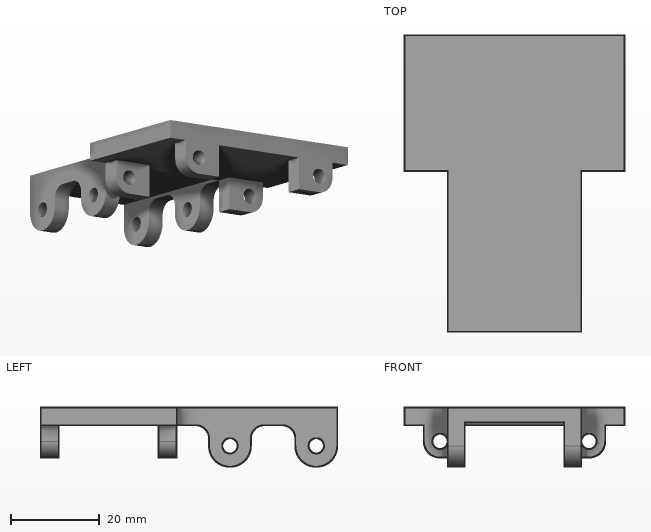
import cadquery as cq
import math

total_length = 66.7
wide_width = 49.5
wide_length = 30.55
wide_thickness = 4.1
narrow_width = 30.0
narrow_length = total_length - wide_length
narrow_thickness = 3.4

hole_diameter = 3.4

total_height = 13.4
rail_width = 3.9
rail_depth = wide_thickness
rail_lug_radius = 4.75
rail_lug_axis_z = rail_lug_radius - total_height
rail_lug_axes_y = (rail_lug_radius, 24.15)
root_fillet_radius = 2.95

cross_lug_radius = 3.7
cross_lug_thickness = 4.1
cross_lug_axis_z = -7.7
cross_lug_axis_x = 16.75
cross_lug_inner_x = narrow_width / 2 - rail_width
cross_lug_back_faces_y = (narrow_length + cross_lug_thickness, total_length)


def block(x_min, y_min, width, length, thickness):
    """Box hanging down from the top face."""
    return cq.Workplane("XY").box(width, length, thickness, centered=False).translate(
        (x_min, y_min, -thickness)
    )


def lug_profile(plane, axis, axis_z, radius):
    """Closed outline of a round-ended lug reaching up to the top face."""
    return (
        plane.moveTo(axis - radius, 0)
        .lineTo(axis - radius, axis_z)
        .threePointArc((axis, axis_z - radius), (axis + radius, axis_z))
        .lineTo(axis + radius, 0)
        .close()
    )


def make_rail(x_min):
    """Side rail with two lugs, filleted where the lugs meet its lower edge."""
    rail = block(x_min, 0, rail_width, narrow_length, rail_depth)
    plane = cq.Workplane("YZ", origin=(x_min, 0, 0))
    for axis_y in rail_lug_axes_y:
        rail = rail.union(lug_profile(plane, axis_y, rail_lug_axis_z, rail_lug_radius).extrude(rail_width))

    first_axis_y, second_axis_y = rail_lug_axes_y
    root_positions_y = (
        first_axis_y + rail_lug_radius,
        second_axis_y - rail_lug_radius,
        second_axis_y + rail_lug_radius,
    )
    rail_center_x = x_min + rail_width / 2
    for root_y in root_positions_y:
        root_edge = cq.selectors.NearestToPointSelector((rail_center_x, root_y, -rail_depth))
        rail = rail.edges("|X").edges(root_edge).fillet(root_fillet_radius)

    holes = plane.pushPoints([(axis_y, rail_lug_axis_z) for axis_y in rail_lug_axes_y])
    return rail.cut(holes.circle(hole_diameter / 2).extrude(rail_width))


def make_cross_lug(side, back_y):
    """Lug below the wide plate, bored along Y; side is -1 or 1 for its sign in X.

    The outer lower corner is round, and the inner face is flush with the rail's inner face.
    """
    arc_offset = cross_lug_radius * math.sqrt(0.5)
    plane = cq.Workplane("XZ", origin=(0, back_y, 0))
    lug = (
        plane.moveTo(side * cross_lug_inner_x, 0)
        .lineTo(side * cross_lug_inner_x, cross_lug_axis_z - cross_lug_radius)
        .lineTo(side * cross_lug_axis_x, cross_lug_axis_z - cross_lug_radius)
        .threePointArc(
            (side * (cross_lug_axis_x + arc_offset), cross_lug_axis_z - arc_offset),
            (side * (cross_lug_axis_x + cross_lug_radius), cross_lug_axis_z),
        )
        .lineTo(side * (cross_lug_axis_x + cross_lug_radius), 0)
        .close()
        .extrude(cross_lug_thickness)
    )
    hole = plane.center(side * cross_lug_axis_x, cross_lug_axis_z).circle(hole_diameter / 2)
    return lug.cut(hole.extrude(cross_lug_thickness))


result = block(-wide_width / 2, narrow_length, wide_width, wide_length, wide_thickness)
result = result.union(block(-narrow_width / 2, 0, narrow_width, narrow_length, narrow_thickness))

for rail_x_min in (-narrow_width / 2, narrow_width / 2 - rail_width):
    result = result.union(make_rail(rail_x_min))

for lug_side in (-1, 1):
    for lug_back_y in cross_lug_back_faces_y:
        result = result.union(make_cross_lug(lug_side, lug_back_y))